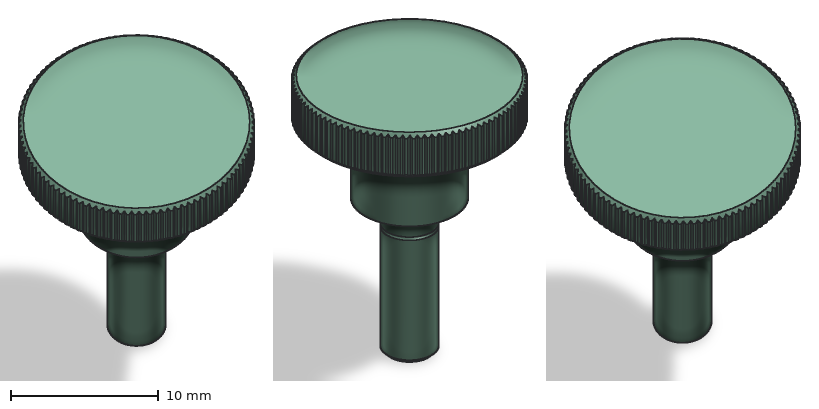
import cadquery as cq
import math

total_height = 21.5
head_diameter = 16.0
head_height = 3.48
head_chamfer = 0.32

collar_diameter = head_diameter / 2
collar_height = 6.02

shank_diameter = head_diameter / 4
neck_length = 2.0
relief_depth = 0.25
tip_chamfer = 0.37

groove_count = 100
groove_depth = 0.16

head_radius = head_diameter / 2
collar_radius = collar_diameter / 2
shank_radius = shank_diameter / 2
head_bottom = total_height - head_height
collar_bottom = head_bottom - collar_height
neck_bottom = collar_bottom - neck_length


def make_knurled_head():
    """Disc with V grooves around its rim, chamfered at both faces."""
    groove_root = head_radius - groove_depth
    groove_half_angle = math.asin(groove_depth / head_radius)
    pitch_angle = 2 * math.pi / groove_count

    def rim_point(radius, angle):
        return (radius * math.cos(angle), radius * math.sin(angle))

    outline = cq.Workplane("XY").workplane(offset=head_bottom)
    outline = outline.moveTo(*rim_point(head_radius, -groove_half_angle))
    for i in range(groove_count):
        groove_angle = i * pitch_angle
        land_start = groove_angle + groove_half_angle
        land_middle = groove_angle + pitch_angle / 2
        land_end = groove_angle + pitch_angle - groove_half_angle
        outline = outline.lineTo(*rim_point(groove_root, groove_angle))
        outline = outline.lineTo(*rim_point(head_radius, land_start))
        outline = outline.threePointArc(
            rim_point(head_radius, land_middle),
            rim_point(head_radius, land_end),
        )
    knurled_disc = outline.close().extrude(head_height)

    chamfered_blank = (
        cq.Workplane("XY")
        .workplane(offset=head_bottom)
        .circle(head_radius)
        .extrude(head_height)
        .edges()
        .chamfer(head_chamfer)
    )
    return knurled_disc.intersect(chamfered_blank)


def make_collar_and_shank():
    """Turned body below the head: collar, neck, relief and shank with a chamfered tip."""
    half_profile = [
        (0, 0),
        (shank_radius - tip_chamfer, 0),
        (shank_radius, tip_chamfer),
        (shank_radius, neck_bottom - relief_depth),
        (shank_radius - relief_depth, neck_bottom),
        (shank_radius, neck_bottom),
        (shank_radius, collar_bottom),
        (collar_radius, collar_bottom),
        (collar_radius, head_bottom),
        (0, head_bottom),
    ]
    return cq.Workplane("XZ").polyline(half_profile).close().revolve(360, (0, 0), (0, 1))


result = make_knurled_head().union(make_collar_and_shank())